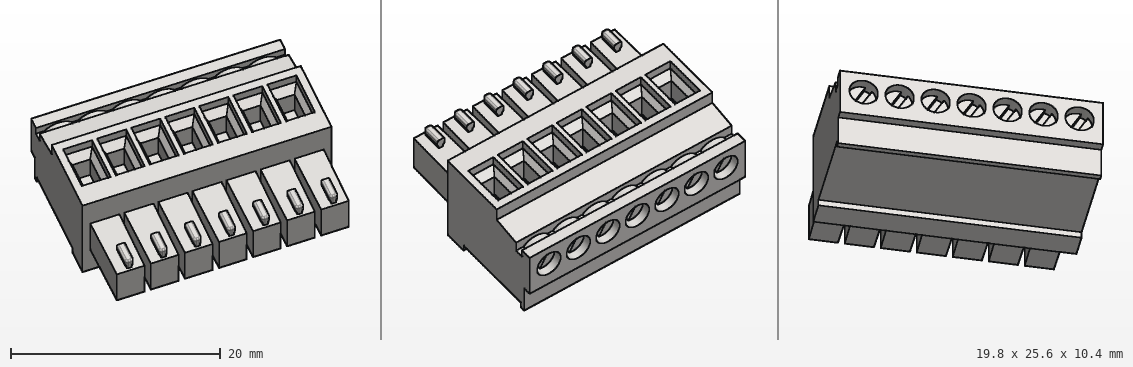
import cadquery as cq


LENGTH = 25.6
POLES = 7
END_ALLOWANCE = 1.1
PITCH = (LENGTH - END_ALLOWANCE) / POLES
POLE_CENTERS = [(i - (POLES - 1) / 2) * PITCH for i in range(POLES)]

HEIGHT = 10.4
HOUSING_END_X = 13.16
FACE_TOP = 8.17
FACE_BOTTOM = 3.12
FOOT_START_X = 0.87
FRONT_FOOT_WIDTH = 0.56
REAR_FOOT_WIDTH = 2.55
FOOT_HEIGHT = 0.67
SLOPE_START_Z = 8.43
SLOPE_END_Z = 8.95
STEP_X = 5.28

GROOVE_START_X = 1.23
GROOVE_END_X = 2.18
GROOVE_FLOOR = 7.3
BARREL_RADIUS = 2.0

SCREW_Z = 5.9
SCREW_HOLE_DIAMETER = 2.8
SCREW_HEAD_DEPTH = 1.0
DRIVE_SLOT_WIDTH = 0.75
DRIVE_SLOT_DEPTH = 0.5
DRIVE_SLOT_ANGLE = 60.0

ENTRY_CENTER_X = 8.55
ENTRY_SIZE_X = 4.76
ENTRY_SIZE_Y = 2.97
ENTRY_DEPTH = 1.0
FUNNEL_DEPTH = 0.56
SHAFT_SIZE_X = 2.85
SHAFT_SIZE_Y = 1.82
SHAFT_DEPTH = 2.43

PRONG_END_X = 19.8
PRONG_BOTTOM = 3.15
PRONG_TOP = 7.22
PRONG_ROOT_WIDTH = 3.0
PRONG_TIP_WIDTH = 2.85

KEY_START_X = 17.3
KEY_LENGTH = 2.2
KEY_WIDTH = 0.87
KEY_HEIGHT = 1.13
KEY_TOP_ROUND = 0.2
KEY_TIP_ROUND = 0.3
KEY_NECK_HEIGHT = 0.18
KEY_UNDERCUT_HEIGHT = 0.28
KEY_NECK_INSET = 0.18


def make_housing():
    """Stepped side outline, swept over the full length of the block."""
    outline = [
        (FOOT_START_X, 0),
        (FOOT_START_X + FRONT_FOOT_WIDTH, 0),
        (FOOT_START_X + FRONT_FOOT_WIDTH, FOOT_HEIGHT),
        (HOUSING_END_X - REAR_FOOT_WIDTH, FOOT_HEIGHT),
        (HOUSING_END_X - REAR_FOOT_WIDTH, 0),
        (HOUSING_END_X, 0),
        (HOUSING_END_X, HEIGHT),
        (STEP_X, HEIGHT),
        (STEP_X, SLOPE_END_Z),
        (GROOVE_END_X, SLOPE_START_Z),
        (GROOVE_END_X, GROOVE_FLOOR),
        (GROOVE_START_X, GROOVE_FLOOR),
        (GROOVE_START_X, FACE_TOP),
        (0, FACE_TOP),
        (0, FACE_BOTTOM),
        (FOOT_START_X, FACE_BOTTOM),
    ]
    return cq.Workplane("XZ").polyline(outline).close().extrude(LENGTH / 2, both=True)


def make_screw_barrel(y):
    """Disc filling the groove; its top bulges above the groove floor."""
    return (
        cq.Workplane("YZ", origin=(GROOVE_START_X, y, SCREW_Z))
        .circle(BARREL_RADIUS)
        .extrude(GROOVE_END_X - GROOVE_START_X)
    )


def make_screw_recess(y):
    """Round recess down to the screw head, plus the slanted drive slot in the head."""
    recess_radius = SCREW_HOLE_DIAMETER / 2
    recess = (
        cq.Workplane("YZ", origin=(0, y, SCREW_Z))
        .circle(recess_radius)
        .extrude(SCREW_HEAD_DEPTH)
    )
    head = cq.Workplane("YZ", origin=(SCREW_HEAD_DEPTH, y, SCREW_Z))
    drive_slot = (
        head.transformed(rotate=(0, 0, -DRIVE_SLOT_ANGLE))
        .rect(SCREW_HOLE_DIAMETER, DRIVE_SLOT_WIDTH)
        .extrude(DRIVE_SLOT_DEPTH)
        .intersect(head.circle(recess_radius).extrude(DRIVE_SLOT_DEPTH))
    )
    return recess.union(drive_slot)


def make_wire_entry(y):
    """Rectangular pocket that narrows through a funnel into a smaller shaft."""
    funnel_top = HEIGHT - ENTRY_DEPTH
    funnel_bottom = funnel_top - FUNNEL_DEPTH
    pocket = (
        cq.Workplane("XY", origin=(ENTRY_CENTER_X, y, funnel_top))
        .rect(ENTRY_SIZE_X, ENTRY_SIZE_Y)
        .extrude(ENTRY_DEPTH)
    )
    funnel = (
        cq.Workplane("XY", origin=(ENTRY_CENTER_X, y, funnel_bottom))
        .rect(SHAFT_SIZE_X, SHAFT_SIZE_Y)
        .workplane(offset=FUNNEL_DEPTH)
        .rect(ENTRY_SIZE_X, ENTRY_SIZE_Y)
        .loft(ruled=True)
    )
    shaft = (
        cq.Workplane("XY", origin=(ENTRY_CENTER_X, y, funnel_bottom))
        .rect(SHAFT_SIZE_X, SHAFT_SIZE_Y)
        .extrude(-SHAFT_DEPTH)
    )
    return pocket.union(funnel).union(shaft)


def make_prong(y):
    """Plug prong, slightly narrower at its tip than at the housing."""
    corners = [
        (HOUSING_END_X, y - PRONG_ROOT_WIDTH / 2),
        (PRONG_END_X, y - PRONG_TIP_WIDTH / 2),
        (PRONG_END_X, y + PRONG_TIP_WIDTH / 2),
        (HOUSING_END_X, y + PRONG_ROOT_WIDTH / 2),
    ]
    return (
        cq.Workplane("XY", origin=(0, 0, PRONG_BOTTOM))
        .polyline(corners)
        .close()
        .extrude(PRONG_TOP - PRONG_BOTTOM)
    )


def make_key(y):
    """Coding key: rounded top and tip, undercut to a narrower neck at its base."""
    half = KEY_WIDTH / 2
    neck_half = half - KEY_NECK_INSET
    undercut_top = KEY_NECK_HEIGHT + KEY_UNDERCUT_HEIGHT
    section = [
        (-neck_half, 0),
        (neck_half, 0),
        (neck_half, KEY_NECK_HEIGHT),
        (half, undercut_top),
        (half, KEY_HEIGHT),
        (-half, KEY_HEIGHT),
        (-half, undercut_top),
        (-neck_half, KEY_NECK_HEIGHT),
    ]
    undercut_bar = (
        cq.Workplane("YZ", origin=(KEY_START_X, y, PRONG_TOP))
        .polyline(section)
        .close()
        .extrude(KEY_LENGTH)
    )
    rounded_block = (
        cq.Workplane("XY", origin=(KEY_START_X, y, PRONG_TOP))
        .box(KEY_LENGTH, KEY_WIDTH, KEY_HEIGHT, centered=(False, True, False))
        .edges(">X and |Z")
        .fillet(KEY_TIP_ROUND)
        .edges(">Z and (not <X)")
        .fillet(KEY_TOP_ROUND)
    )
    return undercut_bar.intersect(rounded_block)


result = make_housing()
for pole_y in POLE_CENTERS:
    result = result.union(make_screw_barrel(pole_y))
    result = result.union(make_prong(pole_y))
    result = result.union(make_key(pole_y))
for pole_y in POLE_CENTERS:
    result = result.cut(make_screw_recess(pole_y))
    result = result.cut(make_wire_entry(pole_y))